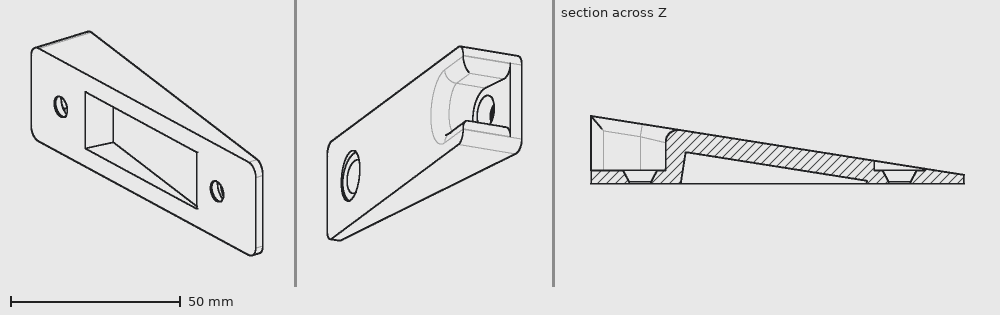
import cadquery as cq

length = 110.0
height = 30.0
thick_end = 20.0
thin_end = 2.6
corner_radius = 3.6
slope = (thick_end - thin_end) / length

hole_diameter = 6.4
hole_straight_depth = 0.5
hole_seat_diameter = 10.0
thick_end_hole_x = 14.5
thin_end_hole_x = 91.0

recess_radius = 7.5
recess_floor = 4.0
recess_edge_radius = 3.7

pocket_start = 26.5
pocket_end = 81.2
pocket_height = 18.3
pocket_end_depth = 0.9


def make_wedge():
    profile = [(0, 0), (length, 0), (length, thin_end), (0, thick_end)]
    wedge = cq.Workplane("XY").polyline(profile).close().extrude(height / 2, both=True)
    return wedge.edges("|Y").fillet(corner_radius)


def cylinder_along_y(x, radius, y_start, y_end):
    circle = cq.Workplane("XZ", origin=(x, y_start, 0)).circle(radius)
    return circle.extrude(y_start - y_end)


def cut_open_recess(body, hole_x):
    """Cut a round-ended slot open at X = 0, then round its rim."""
    channel = cq.Workplane("XY").box(
        hole_x, thick_end, 2 * recess_radius, centered=(False, False, True)
    ).translate((0, recess_floor, 0))
    round_end = cylinder_along_y(hole_x, recess_radius, recess_floor, recess_floor + thick_end)
    body = body.cut(channel.union(round_end))

    margin = 0.1
    reach = recess_radius + margin
    above_floor = cq.selectors.BoxSelector(
        (-margin, recess_floor + margin, -reach),
        (hole_x + reach, thick_end + margin, reach),
    )
    recess_edges = body.edges(above_floor)
    upright = recess_edges.edges("|Y").edges("<X")
    rim = recess_edges.edges("not(|Y or #Y)")
    return body.newObject(upright.vals() + rim.vals()).fillet(recess_edge_radius)


def make_pocket():
    """Pocket cutter whose end walls are square to its sloping floor."""
    upright_start_depth = pocket_end_depth + slope * (pocket_end - pocket_start)
    start_depth = upright_start_depth / (1 + slope**2)
    end_depth = pocket_end_depth / (1 + slope**2)
    profile = [
        (pocket_start, 0),
        (pocket_end, 0),
        (pocket_end + slope * end_depth, end_depth),
        (pocket_start + slope * start_depth, start_depth),
    ]
    return cq.Workplane("XY").polyline(profile).close().extrude(pocket_height / 2, both=True)


def make_screw_hole(x):
    """Straight bore at the flat face, then a cone opening onto the recess floor."""
    bore = cylinder_along_y(x, hole_diameter / 2, 0, recess_floor)
    cone = cq.Workplane("XY").polyline([
        (0, hole_straight_depth),
        (hole_diameter / 2, hole_straight_depth),
        (hole_seat_diameter / 2, recess_floor),
        (0, recess_floor),
    ]).close().revolve(360, (0, 0, 0), (0, 1, 0))
    return bore.union(cone.translate((x, 0, 0)))


result = cut_open_recess(make_wedge(), thick_end_hole_x)
result = result.cut(cylinder_along_y(thin_end_hole_x, recess_radius, recess_floor, thick_end))
result = result.cut(make_pocket())
for hole_x in (thick_end_hole_x, thin_end_hole_x):
    result = result.cut(make_screw_hole(hole_x))